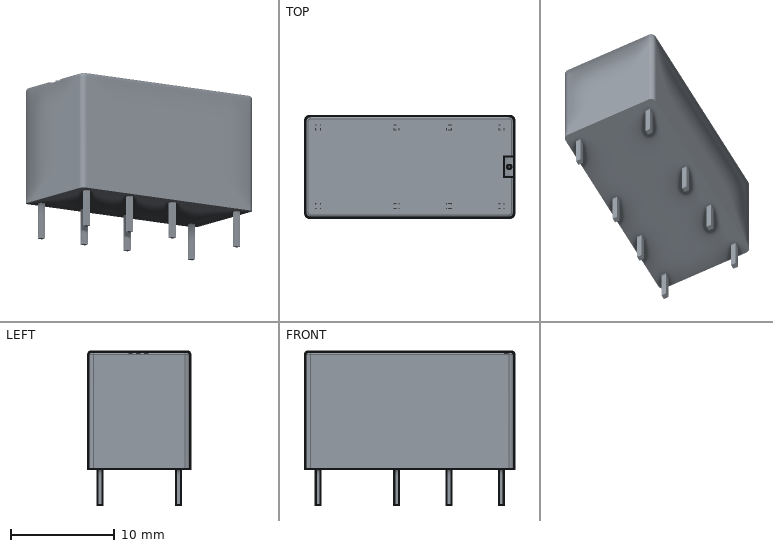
import cadquery as cq

CASE_LENGTH = 20.3
CASE_WIDTH = 9.9
CASE_HEIGHT = 11.4
CORNER_RADIUS = 0.5
TOP_EDGE_RADIUS = 0.3

GRID = 2.54
PIN_SIZE = 0.5
PIN_LENGTH = 3.5
ROW_SPACING = 3 * GRID
ROW_LENGTH = 7 * GRID
PIN_STEPS = (0, 3, 5, 7)

NOTCH_LENGTH = 1.0
NOTCH_WIDTH = 2.0
NOTCH_DEPTH = 0.2
PEG_DIAMETER = 0.4
NOTCH_CENTRE_X = (CASE_LENGTH - NOTCH_LENGTH) / 2
NOTCH_FLOOR_Z = CASE_HEIGHT - NOTCH_DEPTH


def make_case():
    """Box with rounded upright corners and a smaller round on the top edges."""
    box = cq.Workplane("XY").box(CASE_LENGTH, CASE_WIDTH, CASE_HEIGHT, centered=(True, True, False))
    return box.edges("|Z").fillet(CORNER_RADIUS).faces(">Z").edges().fillet(TOP_EDGE_RADIUS)


def make_notch():
    """Volume removed from the top of the case, leaving the peg standing flush with the top."""
    floor = cq.Workplane("XY", origin=(NOTCH_CENTRE_X, 0, NOTCH_FLOOR_Z))
    pocket = floor.rect(NOTCH_LENGTH, NOTCH_WIDTH).extrude(NOTCH_DEPTH)
    peg = floor.circle(PEG_DIAMETER / 2).extrude(NOTCH_DEPTH)
    return pocket.cut(peg)


def make_pins():
    """Both rows of pins, hanging down from the underside of the case."""
    positions = [
        (step * GRID - ROW_LENGTH / 2, side * ROW_SPACING / 2)
        for side in (-1, 1)
        for step in PIN_STEPS
    ]
    return cq.Workplane("XY").pushPoints(positions).rect(PIN_SIZE, PIN_SIZE).extrude(-PIN_LENGTH)


result = make_case().cut(make_notch()).union(make_pins())